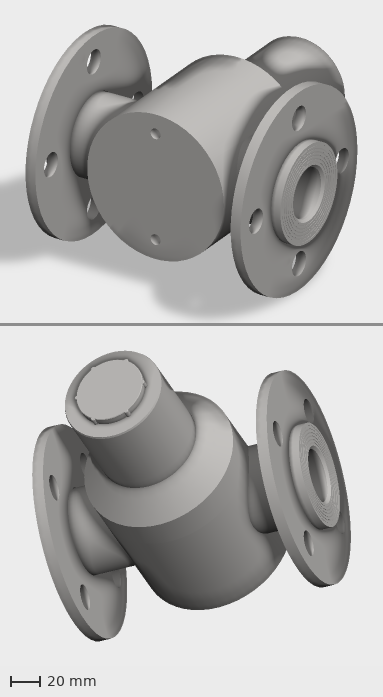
import cadquery as cq
import math


OVERALL_LENGTH = 188.5
OVERALL_DEPTH = 221.5
FLANGE_DIAMETER = 150.0

BODY_DIAMETER = 109.6
BODY_FRONT_Y = -46.0
SEAM_Y = 37.7
MOUNT_HOLE_DIAMETER = 8.0
MOUNT_HOLE_OFFSET = 40.0
MOUNT_HOLE_DEPTH = 11.0

CONE_START_Y = 58.5
NECK_DIAMETER = 71.0
CONE_END_Y = CONE_START_Y + (BODY_DIAMETER - NECK_DIAMETER) / 2
NECK_END_Y = 140.9
NECK_TOP_DIAMETER = 70.0
NECK_CHAMFER_LENGTH = 1.3

CAP_DIAMETER = 48.7
CAP_TOP_Y = OVERALL_DEPTH - FLANGE_DIAMETER / 2
CAP_CHAMFER = 0.5
RIB_COUNT = 6
RIB_RADIUS = 1.8
RIB_CENTRE_RADIUS = 24.0

STUB_FACE_X = OVERALL_LENGTH / 2
STUB_INNER_X = 44.3
PIPE_DIAMETER = 61.0
BORE_DIAMETER = 37.0
BORE_MOUTH_DIAMETER = 40.8
COLLAR_DIAMETER = 73.0
COLLAR_THICKNESS = 7.5
GROOVE_COUNT = 6
FIRST_GROOVE_DIAMETER = 43.6
GROOVE_DIAMETER_STEP = 4.78
GROOVE_WIDTH = 0.9
GROOVE_DEPTH = 0.2

FLANGE_THICKNESS = 8.0
FLANGE_GAP = 0.5
FLANGE_BORE = 61.5
BOLT_CIRCLE_DIAMETER = 110.0
BOLT_HOLE_DIAMETER = 18.0
BOLT_HOLE_COUNT = 4

SIDES = (-1, 1)


def disc_along_x(diameter, start, end):
    """Cylinder on the pipe axis between two X positions."""
    return cq.Workplane("YZ", origin=(start, 0, 0)).circle(diameter / 2).extrude(end - start)


def cylinder_along_y(diameter, start, end, x=0.0, z=0.0):
    """Cylinder parallel to the body axis between two Y positions."""
    plane = cq.Plane(origin=(x, start, z), xDir=(1, 0, 0), normal=(0, 1, 0))
    return cq.Workplane(plane).circle(diameter / 2).extrude(end - start)


def make_valve_body():
    """Solid cylinder with a socket for each pipe and two mounting holes."""
    body = cylinder_along_y(BODY_DIAMETER, BODY_FRONT_Y, SEAM_Y)
    for side in SIDES:
        body = body.cut(disc_along_x(PIPE_DIAMETER, side * STUB_INNER_X, side * STUB_FACE_X))
        hole = cylinder_along_y(
            MOUNT_HOLE_DIAMETER,
            BODY_FRONT_Y,
            BODY_FRONT_Y + MOUNT_HOLE_DEPTH,
            z=side * MOUNT_HOLE_OFFSET,
        )
        body = body.cut(hole)
    return body


def make_bonnet():
    """Turned bonnet that tapers from the body diameter to the neck."""
    profile = [
        (0, SEAM_Y),
        (BODY_DIAMETER / 2, SEAM_Y),
        (BODY_DIAMETER / 2, CONE_START_Y),
        (NECK_DIAMETER / 2, CONE_END_Y),
        (NECK_DIAMETER / 2, NECK_END_Y - NECK_CHAMFER_LENGTH),
        (NECK_TOP_DIAMETER / 2, NECK_END_Y),
        (0, NECK_END_Y),
    ]
    return cq.Workplane("XY").polyline(profile).close().revolve(360, (0, 0), (0, 1))


def make_cap():
    """Disc with evenly spaced round grip ribs, all chamfered at the top."""
    cap = cylinder_along_y(CAP_DIAMETER, NECK_END_Y, CAP_TOP_Y).faces(">Y").chamfer(CAP_CHAMFER)
    for index in range(RIB_COUNT):
        angle = 2 * math.pi * index / RIB_COUNT
        rib = cylinder_along_y(
            2 * RIB_RADIUS,
            NECK_END_Y,
            CAP_TOP_Y,
            x=RIB_CENTRE_RADIUS * math.cos(angle),
            z=RIB_CENTRE_RADIUS * math.sin(angle),
        )
        cap = cap.union(rib.faces(">Y").chamfer(CAP_CHAMFER))
    return cap


def make_stub_end(side):
    """Pipe with a collar whose sealing face carries concentric grooves."""
    face_x = side * STUB_FACE_X
    collar = disc_along_x(COLLAR_DIAMETER, side * (STUB_FACE_X - COLLAR_THICKNESS), face_x)
    stub = disc_along_x(PIPE_DIAMETER, side * STUB_INNER_X, face_x).union(collar)
    stub = stub.cut(disc_along_x(BORE_DIAMETER, side * STUB_INNER_X, face_x))

    mouth_depth = (BORE_MOUTH_DIAMETER - BORE_DIAMETER) / 2
    mouth = cq.Solid.makeCone(
        BORE_MOUTH_DIAMETER / 2,
        BORE_DIAMETER / 2,
        mouth_depth,
        cq.Vector(face_x, 0, 0),
        cq.Vector(-side, 0, 0),
    )
    stub = stub.cut(cq.Workplane(mouth))

    groove_floor_x = side * (STUB_FACE_X - GROOVE_DEPTH)
    for index in range(GROOVE_COUNT):
        inner_diameter = FIRST_GROOVE_DIAMETER + index * GROOVE_DIAMETER_STEP
        outer = disc_along_x(inner_diameter + 2 * GROOVE_WIDTH, groove_floor_x, face_x)
        stub = stub.cut(outer.cut(disc_along_x(inner_diameter, groove_floor_x, face_x)))
    return stub


def make_flange(side):
    """Flat ring behind the collar, with bolt holes on the Y and Z axes."""
    outer_x = side * (STUB_FACE_X - COLLAR_THICKNESS - FLANGE_GAP)
    inner_x = outer_x - side * FLANGE_THICKNESS
    flange = disc_along_x(FLANGE_DIAMETER, inner_x, outer_x)
    flange = flange.cut(disc_along_x(FLANGE_BORE, inner_x, outer_x))
    bolt_holes = (
        cq.Workplane("YZ", origin=(inner_x, 0, 0))
        .polarArray(BOLT_CIRCLE_DIAMETER / 2, 0, 360, BOLT_HOLE_COUNT)
        .circle(BOLT_HOLE_DIAMETER / 2)
        .extrude(outer_x - inner_x)
    )
    return flange.cut(bolt_holes)


valve_body = make_valve_body()
bonnet = make_bonnet()
cap = make_cap()
stub_ends = [make_stub_end(side).val() for side in SIDES]
flanges = [make_flange(side).val() for side in SIDES]

result = cq.Compound.makeCompound([valve_body.val(), bonnet.val(), cap.val(), *stub_ends, *flanges])